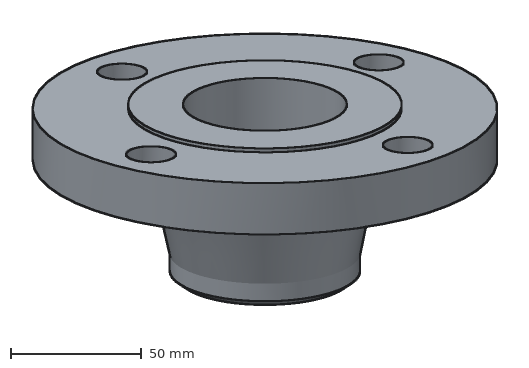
import cadquery as cq
import math


total_height = 69.85
flange_diameter = 177.8
flange_thickness = 22.35
bore_diameter = 62.7

raised_face_diameter = 104.7
raised_face_height = 1.6

bolt_hole_count = 4
bolt_hole_diameter = 19.05
bolt_circle_diameter = 139.7

neck_diameter = 73.0
neck_bottom_to_taper = 9.7
taper_angle = math.radians(12.3)
hub_fillet_radius = 7.5
weld_land = 1.6
weld_bevel_angle = math.radians(37.5)

flange_radius = flange_diameter / 2
raised_face_radius = raised_face_diameter / 2
neck_radius = neck_diameter / 2
bore_radius = bore_diameter / 2
flange_top = total_height - raised_face_height
flange_bottom = total_height - flange_thickness
bevel_inner_radius = bore_radius + weld_land
bevel_height = (neck_radius - bevel_inner_radius) * math.tan(weld_bevel_angle)

fillet_center_z = flange_bottom - hub_fillet_radius
taper_top = fillet_center_z + hub_fillet_radius * math.sin(taper_angle)
taper_top_radius = neck_radius + (taper_top - neck_bottom_to_taper) * math.tan(taper_angle)
fillet_center_radius = taper_top_radius + hub_fillet_radius * math.cos(taper_angle)
fillet_mid_angle = (math.pi / 2 + math.pi - taper_angle) / 2
fillet_middle = (
    fillet_center_radius + hub_fillet_radius * math.cos(fillet_mid_angle),
    fillet_center_z + hub_fillet_radius * math.sin(fillet_mid_angle),
)


def make_body():
    """Revolve the half section, bore included, about the Z axis."""
    section = (
        cq.Workplane("XZ")
        .moveTo(bore_radius, 0)
        .lineTo(bevel_inner_radius, 0)
        .lineTo(neck_radius, bevel_height)
        .lineTo(neck_radius, neck_bottom_to_taper)
        .lineTo(taper_top_radius, taper_top)
        .threePointArc(fillet_middle, (fillet_center_radius, flange_bottom))
        .lineTo(flange_radius, flange_bottom)
        .lineTo(flange_radius, flange_top)
        .lineTo(raised_face_radius, flange_top)
        .lineTo(raised_face_radius, total_height)
        .lineTo(bore_radius, total_height)
        .close()
    )
    return section.revolve(360, (0, 0, 0), (0, 1, 0))


def make_bolt_holes():
    """Cutting cylinders through the flange, the first one on the +X axis."""
    return (
        cq.Workplane("XY")
        .workplane(offset=flange_bottom)
        .polarArray(bolt_circle_diameter / 2, 0, 360, bolt_hole_count)
        .circle(bolt_hole_diameter / 2)
        .extrude(flange_thickness)
    )


result = make_body().cut(make_bolt_holes())